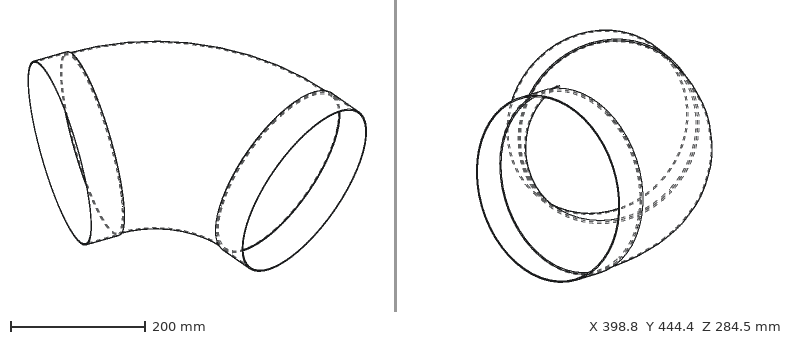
import cadquery as cq

bend_angle = 60
bend_radius = 280.0
pipe_diameter = 280.0
socket_diameter = 284.5
wall = 2.0
socket_length = 52.5

socket_bore = socket_diameter - 2 * wall
pipe_bore = pipe_diameter - 2 * wall


def ring(outer_diameter, inner_diameter):
    """Annular section in the XZ plane, centred on the inlet axis."""
    return cq.Workplane("XZ").circle(outer_diameter / 2).circle(inner_diameter / 2)


def make_bend():
    """Curved pipe that starts heading +Y and turns towards +X about a vertical axis."""
    return ring(pipe_diameter, pipe_bore).revolve(
        bend_angle, (bend_radius, 4.5, 0), (bend_radius, -4.5, 0)
    )


def make_socket(direction):
    """Socket running from the inlet end of the bend: direction 1 is -Y, -1 is +Y."""
    sleeve = ring(socket_diameter, socket_bore).extrude(direction * socket_length)
    shoulder = ring(socket_diameter, pipe_bore).extrude(direction * wall)
    return sleeve.union(shoulder)


def turn_to_outlet(shape):
    """Carry a shape from the inlet end of the bend to its outlet end."""
    return shape.rotate((bend_radius, 0, 0), (bend_radius, 0, 1), -bend_angle)


inlet_socket = make_socket(1)
outlet_socket = turn_to_outlet(make_socket(-1))

result = make_bend().union(inlet_socket).union(outlet_socket)